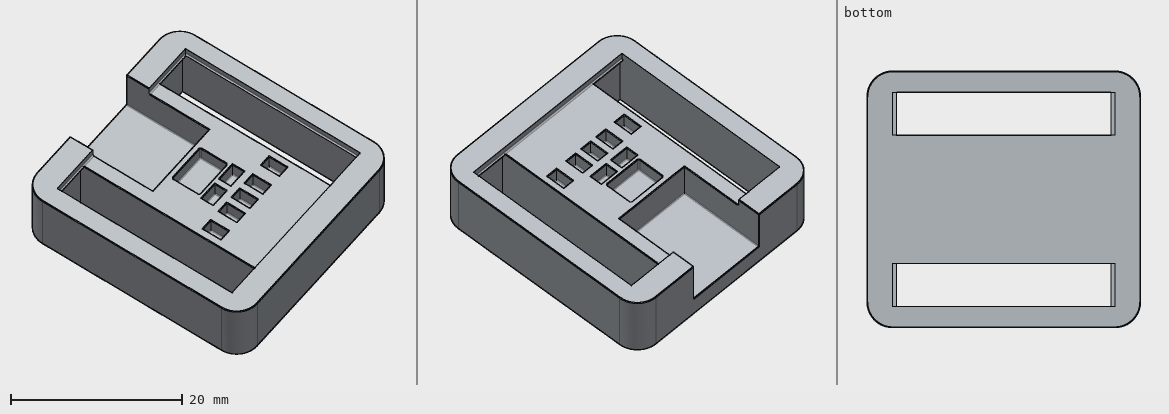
import cadquery as cq
LENGTH = 32.0
WIDTH = 30.0
HEIGHT = 8.5
CORNER_RADIUS = 3.0

DECK_Z = 7.5
RECESS_LENGTH = 25.4
RECESS_BACK_Y = 12.7
RECESS_FRONT_Y = -12.5
RECESS_FILLET = 0.2

SLOT_TOP_LENGTH = RECESS_LENGTH - 2 * RECESS_FILLET
SLOT_LENGTH = 26.0
OPENING_WIDTH = -2 * RECESS_FRONT_Y
LIP_THICKNESS = 0.1
DECK_WIDTH = 15.0

EDGE_CHAMFER = 0.1
FLOOR_FILLET = 0.1

NOTCH_LENGTH = 12.0
NOTCH_WIDTH = 11.0
NOTCH_FLOOR_Z = 2.75

POCKET_DEPTH = 1.9
CHIP_LENGTH = 3.9
CHIP_WIDTH = 5.45
CHIP_CENTER = (-1.25, 0.03)
CHIP_CORNER_RADIUS = 0.2

UPRIGHT_LENGTH = 1.63
UPRIGHT_WIDTH = 2.55
UPRIGHT_X = 2.08
UPRIGHT_YS = (1.8, -1.7)

SIDEWAYS_LENGTH = 2.55
SIDEWAYS_WIDTH = 1.5
SIDEWAYS_X = 5.3
SIDEWAYS_YS = (5.8, 2.55, 0.0, -2.55, -5.7)


def block(x_min, x_max, y_min, y_max, z_min, z_max):
    """Box given by its limits along each axis."""
    size = (x_max - x_min, y_max - y_min, z_max - z_min)
    return cq.Workplane("XY").box(*size, centered=False).translate((x_min, y_min, z_min))


def pocket(length, width, center_x, center_y, corner_radius=0):
    """Cutter for a pocket in the deck, with a rounded floor rim and a chamfered mouth."""
    cutter = cq.Workplane("XY").rect(length, width).extrude(POCKET_DEPTH)
    mouth_length = length + 2 * EDGE_CHAMFER
    mouth_width = width + 2 * EDGE_CHAMFER
    mouth = cq.Workplane("XY").rect(mouth_length, mouth_width).extrude(POCKET_DEPTH)
    if corner_radius:
        cutter = cutter.edges("|Z").fillet(corner_radius)
        mouth = mouth.edges("|Z").fillet(corner_radius + EDGE_CHAMFER)
    cutter = cutter.faces("<Z").edges().fillet(FLOOR_FILLET)
    mouth = mouth.faces("<Z").edges().chamfer(EDGE_CHAMFER)
    cutter = cutter.union(mouth.translate((0, 0, POCKET_DEPTH - EDGE_CHAMFER)))
    return cutter.translate((center_x, center_y, DECK_Z - POCKET_DEPTH))


notch_end_x = NOTCH_LENGTH - LENGTH / 2
notch = block(-LENGTH / 2, notch_end_x, -NOTCH_WIDTH / 2, NOTCH_WIDTH / 2, NOTCH_FLOOR_Z, HEIGHT)
notch = notch.faces("<Z").edges("not <X").fillet(FLOOR_FILLET)

frame = cq.Workplane("XY").rect(LENGTH, WIDTH).extrude(HEIGHT).edges("|Z").fillet(CORNER_RADIUS)
frame = frame.cut(notch)
frame = frame.faces("<Z or >Z or <X").chamfer(EDGE_CHAMFER)

recess = block(-RECESS_LENGTH / 2, RECESS_LENGTH / 2, RECESS_FRONT_Y, RECESS_BACK_Y, DECK_Z, HEIGHT)
recess = recess.faces("<Z").edges("not <Y").fillet(RECESS_FILLET)
frame = frame.cut(recess)

for length, top_z in ((SLOT_TOP_LENGTH, HEIGHT), (SLOT_LENGTH, DECK_Z - LIP_THICKNESS)):
    frame = frame.cut(block(-length / 2, length / 2, -OPENING_WIDTH / 2, OPENING_WIDTH / 2, 0, top_z))

deck = block(-SLOT_LENGTH / 2, SLOT_LENGTH / 2, -DECK_WIDTH / 2, DECK_WIDTH / 2, 0, DECK_Z)
deck = deck.cut(notch)
notch_end_edge = cq.selectors.NearestToPointSelector((notch_end_x, 0, DECK_Z))
deck = deck.faces(">Z").edges("|X").add(deck.edges(notch_end_edge)).chamfer(EDGE_CHAMFER)
body = frame.union(deck)

body = body.cut(pocket(CHIP_LENGTH, CHIP_WIDTH, *CHIP_CENTER, CHIP_CORNER_RADIUS))

for y in UPRIGHT_YS:
    body = body.cut(pocket(UPRIGHT_LENGTH, UPRIGHT_WIDTH, UPRIGHT_X, y))
for y in SIDEWAYS_YS:
    body = body.cut(pocket(SIDEWAYS_LENGTH, SIDEWAYS_WIDTH, SIDEWAYS_X, y))

result = body